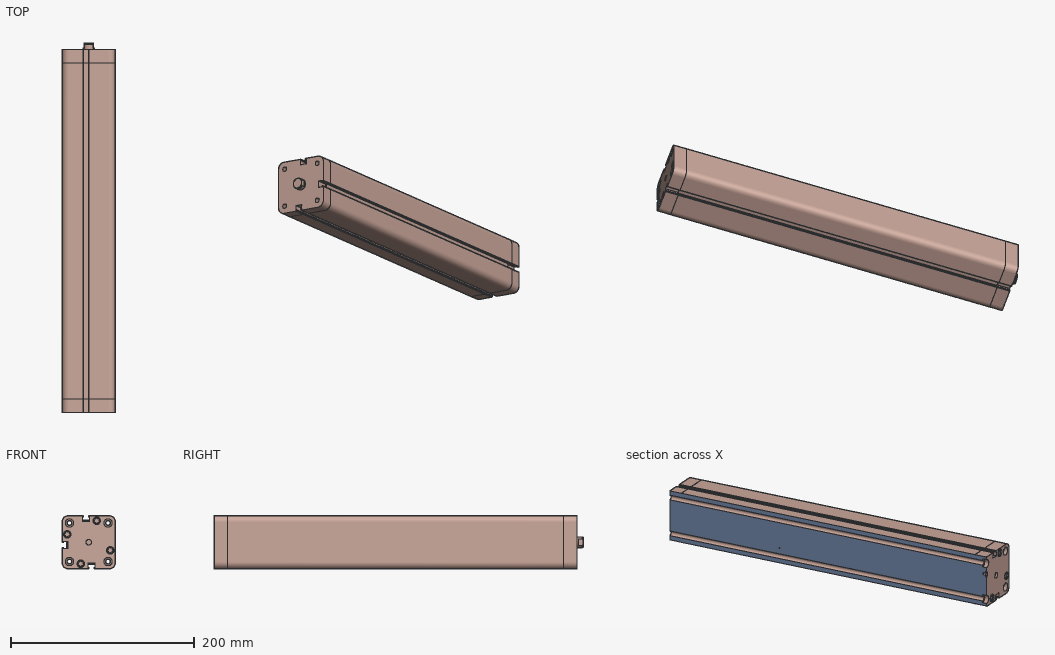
import cadquery as cq
import math

overall_length = 402.0
rod_projection = 7.0
housing_length = overall_length - rod_projection
front_y = -overall_length / 2
rear_y = front_y + housing_length

barrel_width = 58.1
cap_width = 58.0
cap_length = 14.5
corner_radius = 7.0

rod_diameter = 12.0
rod_flat_distance = 10.0
rod_flat_length = 5.5
rod_chamfer_length = 1.5
rod_chamfer_width = 0.6

mount_pitch = 42.0
mount_hole_diameter = 4.92
mount_counterbore_diameter = 9.0
mount_counterbore_depth = 5.0

centre_hole_diameter = 6.0
centre_hole_depth = 2.5

slot_offset = 3.0
slot_mouth_width = 5.2
slot_mouth_chamfer = 0.7
slot_inner_width = 7.2
slot_lip = 1.5
barrel_slot_depth = 5.0
cap_slot_depth = 6.3
slot_angles = (0, 90, 180)

screw_offset = 8.7
screw_height = 23.4
screw_pocket_diameter = 8.0
screw_pocket_depth = 1.5
socket_lobes = 6
socket_peak_radius = 3.3
socket_valley_radius = 2.4
socket_depth = 3.0
screw_angles = (0, 90, 180, 270)


def prism(outline, y_start, length):
    """Extrude an XZ outline towards +Y from y_start."""
    return outline.extrude(-length).translate((0, y_start, 0))


def xz_plane():
    """Empty sketch plane across the housing axis."""
    return cq.Workplane("XZ")


def cylinder(diameter, x, z, y_start, length):
    """Cylinder along +Y, its axis at the given X and Z."""
    return prism(xz_plane().center(x, z).circle(diameter / 2), y_start, length)


def turn(shape, angle):
    """Turn a shape about the housing axis."""
    return shape.rotate((0, 0, 0), (0, -1, 0), angle)


def t_slot(width, depth, y_start, length):
    """T-slot cutter for the top side of a bar of the given width."""
    top = width / 2
    mouth = slot_mouth_width / 2
    flare = mouth + slot_mouth_chamfer
    inner = slot_inner_width / 2
    right_side = [
        (flare, top),
        (mouth, top - slot_mouth_chamfer),
        (mouth, top - slot_lip),
        (inner, top - slot_lip),
        (inner, top - depth),
    ]
    left_side = [(-x, z) for x, z in reversed(right_side)]
    outline = xz_plane().polyline(right_side + left_side).close()
    return prism(outline, y_start, length).translate((-slot_offset, 0, 0))


def slotted_bar(width, slot_depth, y_start, length):
    """Round-cornered square bar with T-slots along its sides."""
    bar = prism(xz_plane().rect(width, width), y_start, length)
    bar = bar.edges("|Y").fillet(corner_radius)
    slot = t_slot(width, slot_depth, y_start, length)
    for angle in slot_angles:
        bar = bar.cut(turn(slot, angle))
    return bar


def housing():
    barrel_length = housing_length - 2 * cap_length
    barrel = slotted_bar(barrel_width, barrel_slot_depth, front_y + cap_length, barrel_length)
    front_cap = slotted_bar(cap_width, cap_slot_depth, front_y, cap_length)
    rear_cap = slotted_bar(cap_width, cap_slot_depth, rear_y - cap_length, cap_length)
    return barrel.union(front_cap).union(rear_cap)


def mount_cylinders(diameter, length):
    """Cylinders at the four mounting positions, starting at the front face."""
    centres = xz_plane().rect(mount_pitch, mount_pitch, forConstruction=True).vertices()
    return prism(centres.circle(diameter / 2), front_y, length)


def polar(radius, turn_fraction):
    """Point at a radius, a given fraction of a full turn away from +X."""
    angle = 2 * math.pi * turn_fraction
    return (radius * math.cos(angle), radius * math.sin(angle))


def lobed_outline():
    """Closed outline of round lobes that meet in sharp valleys."""
    outline = xz_plane().moveTo(*polar(socket_valley_radius, 0))
    for lobe in range(socket_lobes):
        middle_of_lobe = (lobe + 1 / 2) / socket_lobes
        end_of_lobe = (lobe + 1) / socket_lobes
        peak = polar(socket_peak_radius, middle_of_lobe)
        next_valley = polar(socket_valley_radius, end_of_lobe)
        outline = outline.threePointArc(peak, next_valley)
    return outline.close()


def screw_pocket():
    """Round pocket down to the screw head, with the lobed socket in the head."""
    pocket = cylinder(screw_pocket_diameter, 0, 0, front_y, screw_pocket_depth)
    socket = prism(lobed_outline(), front_y, screw_pocket_depth + socket_depth)
    return pocket.union(socket).translate((screw_offset, 0, screw_height))


def piston_rod():
    rod_end = rear_y + rod_projection
    rod = cylinder(rod_diameter, 0, 0, rear_y, rod_projection)
    rod = rod.faces(">Y").chamfer(rod_chamfer_length, rod_chamfer_width)
    flatted = prism(
        xz_plane().rect(rod_flat_distance, rod_diameter),
        rod_end - rod_flat_length,
        rod_flat_length,
    )
    shank = cylinder(rod_diameter, 0, 0, rear_y, rod_projection - rod_flat_length)
    return rod.intersect(flatted.union(shank))


result = housing()
result = result.cut(mount_cylinders(mount_hole_diameter, housing_length))
result = result.cut(mount_cylinders(mount_counterbore_diameter, mount_counterbore_depth))
result = result.cut(cylinder(centre_hole_diameter, 0, 0, front_y, centre_hole_depth))
for screw_angle in screw_angles:
    result = result.cut(turn(screw_pocket(), screw_angle))
result = result.union(piston_rod())